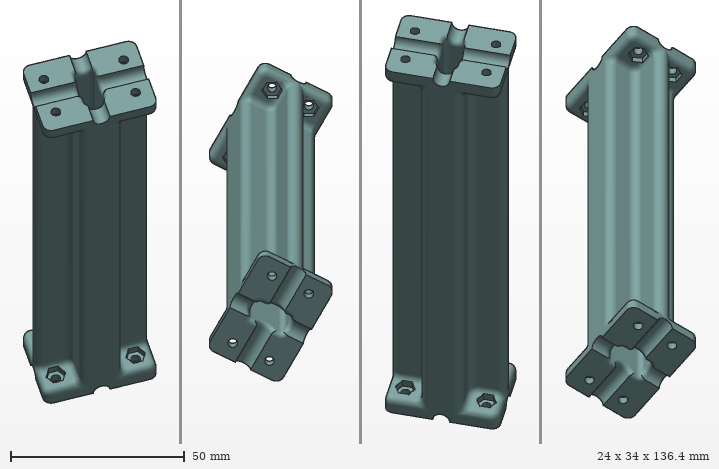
import cadquery as cq
import math

width = 24.0
depth = 34.0
height = 136.38
corner_radius = 2.5

flange_thickness = 5.0
flange_rim_radius = 2.0
flange_root_radius = 2.0

wide_arm_half = 6.2
narrow_arm_half = 2.5
column_radius = 2.5

slot_width = 12.0
slot_depth = 6.2
slot_corner_radius = 1.6
slot_rim_radius = 1.4

groove_radius = 2.5

hole_diameter = 2.7
hole_spacing_x = 12.0
hole_spacing_y = 24.0
nut_sides = 6
nut_across_flats = 5.0
nut_pocket_depth = 2.0
nut_turn = (0, 0, 30)

half_height = height / 2
flange_bottom = half_height - flange_thickness
clearance = 0.1


def corner_box(height_z, bottom_z):
    """Block from the -X -Y corner of the part, running on past the planes of symmetry."""
    box = cq.Workplane("XY").box(2 * width, 2 * depth, height_z, centered=False)
    return box.translate((-width / 2, -depth / 2, bottom_z))


def flange_corner():
    plate = corner_box(flange_thickness, flange_bottom).edges("|Z and <X and <Y").fillet(corner_radius)
    return plate.faces("<Z").edges("<X").fillet(flange_rim_radius)


def column_corner():
    """Column with the recess between its two arms, overlapping the rounded flange rim."""
    recess = (
        cq.Workplane("XY")
        .box(width, depth, height, centered=False)
        .translate((-narrow_arm_half - width, -wide_arm_half - depth, -half_height))
    )
    recess_edges = cq.selectors.BoxSelector(
        (-width / 2 - clearance, -depth / 2 - clearance, -half_height),
        (-narrow_arm_half + clearance, -wide_arm_half + clearance, half_height),
    )
    column = corner_box(flange_bottom + flange_rim_radius, 0).cut(recess)
    return column.edges(recess_edges).edges("|Z").fillet(column_radius)


def cut_grooves(body):
    along_x = cq.Workplane("YZ").center(0, half_height).circle(groove_radius).extrude(2 * width, both=True)
    along_y = cq.Workplane("XZ").center(0, half_height).circle(groove_radius).extrude(2 * depth, both=True)
    return body.cut(along_x).cut(along_y)


def cut_slot(body):
    """Through slot, its mouth rounded where it meets the grooved end face."""
    slot = cq.Workplane("XY").box(slot_width, slot_depth, height).edges("|Z").fillet(slot_corner_radius)
    mouth_edges = cq.selectors.BoxSelector(
        (-slot_width / 2 - clearance, -slot_depth / 2 - clearance, half_height - groove_radius - clearance),
        (slot_width / 2 + clearance, slot_depth / 2 + clearance, half_height + clearance),
    )
    return body.cut(slot).edges(mouth_edges).fillet(slot_rim_radius)


def fillet_column_root(body):
    """Fillet along the foot of the column walls, where they stand on the flange."""
    rim_inset = flange_rim_radius + clearance
    root_edges = cq.selectors.BoxSelector(
        (-width / 2 + rim_inset, -depth / 2 + rim_inset, flange_bottom - clearance),
        (-narrow_arm_half + clearance, -wide_arm_half + clearance, flange_bottom + clearance),
    )
    return body.edges(root_edges).fillet(flange_root_radius)


def screw_hole_cutter():
    """Screw hole of the -X -Y corner with the hexagonal nut pocket opening towards the column."""
    nut_across_corners = nut_across_flats / math.cos(math.pi / nut_sides)
    axis = cq.Workplane("XY").center(-hole_spacing_x / 2, -hole_spacing_y / 2)
    hole = axis.circle(hole_diameter / 2).extrude(height)
    nut = axis.transformed(rotate=nut_turn).polygon(nut_sides, nut_across_corners)
    return hole.union(nut.extrude(flange_bottom + nut_pocket_depth))


def finished_octant():
    """The -X -Y +Z eighth of the part, trimmed at the planes of symmetry."""
    corner = column_corner().union(flange_corner())
    corner = fillet_column_root(cut_slot(cut_grooves(corner)))
    octant = cq.Workplane("XY").box(width, depth, height, centered=False).translate((-width, -depth, 0))
    return corner.intersect(octant).cut(screw_hole_cutter())


def mirrored_post():
    """Whole post: the octant mirrored about each plane of symmetry in turn."""
    post = finished_octant()
    for symmetry_plane in ("YZ", "XZ", "XY"):
        post = post.union(post.mirror(symmetry_plane))
    return post.solids()


result = mirrored_post()